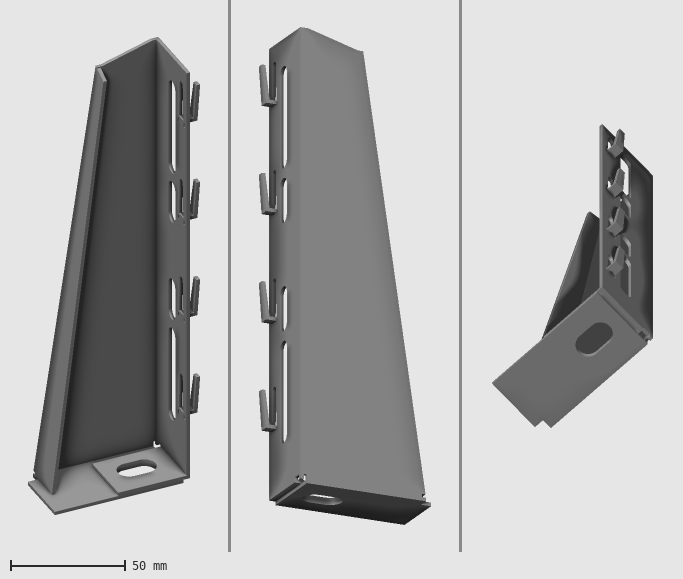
import cadquery as cq

WIDTH = 32.5
HEIGHT = 210.3
FOOT_DEPTH = 65.5
SHEET = 1.7

TOP_FLAT = 3.8
SLOPE_END = 27.8
TOP_DEPTH = 30.3
BOTTOM_DEPTH = 60.5
FRONT_TOP = 203.5

FLANGE_TOP_WIDTH = 9.0
FLANGE_BOTTOM_WIDTH = 19.3
FLANGE_TOP_DROP = 3.2

FOOT_START = 3.2
FOOT_TIP_INSET = 5.0
LIP_INSET = 5.9
LIP_DEPTH = 34.7
FOOT_SLOT_LENGTH = 18.3
FOOT_SLOT_WIDTH = 11.0
FOOT_SLOT_DEPTH = 18.7

REAR_RELIEF_TOP = 4.0
REAR_RELIEF_START = 0.8
FRONT_RELIEF_TOP = 3.2
FRONT_RELIEF_WIDTH = 3.0
FRONT_RELIEF_DEPTH = 1.9

SLOT_X = 17.5
SLOT_WIDTH = 7.0
SLOT_MIDDLE = 110.6
LONG_SLOT = (47.1, 63.5)
SHORT_SLOT = (20.6, 25.0)

HOOK_COUNT = 4
HOOK_PITCH = 50.0
HOOK_X = 27.0
LOWEST_HOOK_Z = 32.2
HOOK_RISE = 17.7
HOOK_REACH = 6.7
HOOK_ARM_REACH = 5.0
HOOK_ROOT_WIDTH = 4.6
HOOK_TIP_WIDTH = 3.2
WINDOW_ARCH_RISE = 18.7
NICK_WIDTH = 0.8
NICK_DEPTH = 1.5
NICK_RISE = 0.6


def box(x, y, z):
    """Box spanning the given (low, high) ranges."""
    size = (x[1] - x[0], y[1] - y[0], z[1] - z[0])
    return cq.Workplane("XY").box(*size, centered=False).translate((x[0], y[0], z[0]))


def side_profile(points, thickness):
    """Extrude a (Y, Z) outline from X = 0 toward +X."""
    return cq.Workplane("YZ").polyline(points).close().extrude(thickness)


def make_side_plate():
    outline = [
        (0, 0),
        (0, HEIGHT),
        (-TOP_FLAT, HEIGHT),
        (-SLOPE_END, FRONT_TOP),
        (-TOP_DEPTH, FRONT_TOP),
        (-BOTTOM_DEPTH, SHEET),
        (-BOTTOM_DEPTH, 0),
    ]
    foot_gap = box((0, SHEET), (-FOOT_START, 0), (0, SHEET))
    relief = box((0, SHEET), (-FOOT_START, -REAR_RELIEF_START), (SHEET, REAR_RELIEF_TOP))
    return side_profile(outline, SHEET).cut(foot_gap).cut(relief)


def make_front_flange():
    slab = side_profile(
        [
            (-TOP_DEPTH, FRONT_TOP),
            (-BOTTOM_DEPTH, SHEET),
            (-BOTTOM_DEPTH + SHEET, SHEET),
            (-TOP_DEPTH + SHEET, FRONT_TOP),
        ],
        WIDTH,
    )
    front_outline = [
        (0, SHEET),
        (0, FRONT_TOP),
        (FLANGE_TOP_WIDTH, FRONT_TOP - FLANGE_TOP_DROP),
        (FLANGE_BOTTOM_WIDTH, SHEET),
    ]
    trim = cq.Workplane("XZ").polyline(front_outline).close().extrude(FOOT_DEPTH)
    return slab.intersect(trim)


def make_foot():
    foot = box((0, WIDTH), (-BOTTOM_DEPTH, -FOOT_START), (0, SHEET))
    tip = box((FOOT_TIP_INSET, WIDTH), (-FOOT_DEPTH, -BOTTOM_DEPTH), (0, SHEET))
    lip = box((LIP_INSET, WIDTH), (-LIP_DEPTH, 0), (SHEET, 2 * SHEET))
    slot = (
        cq.Workplane("XY")
        .center(SLOT_X, -FOOT_SLOT_DEPTH)
        .slot2D(FOOT_SLOT_LENGTH, FOOT_SLOT_WIDTH, 90)
        .extrude(2 * SHEET)
    )
    return foot.union(tip).union(lip).cut(slot)


def make_back_plate():
    plate = box((0, WIDTH), (-SHEET, 0), (SHEET, HEIGHT))
    for length, offset in (LONG_SLOT, SHORT_SLOT):
        slots = (
            cq.Workplane("XZ")
            .pushPoints([(SLOT_X, SLOT_MIDDLE - offset), (SLOT_X, SLOT_MIDDLE + offset)])
            .slot2D(length, SLOT_WIDTH, 90)
            .extrude(SHEET)
        )
        plate = plate.cut(slots)
    corner = box((SHEET, LIP_INSET), (-SHEET, 0), (SHEET, REAR_RELIEF_TOP))
    return plate.cut(corner)


def make_front_relief():
    """Notch at the corner shared by the side plate, the flange and the foot."""
    rear = -BOTTOM_DEPTH + FRONT_RELIEF_DEPTH
    return box((0, FRONT_RELIEF_WIDTH), (-BOTTOM_DEPTH, rear), (SHEET, FRONT_RELIEF_TOP))


def make_hook_window(z):
    """Flared, round-topped opening with a nick on each side of the hook's root."""
    root = HOOK_ROOT_WIDTH / 2
    tip = HOOK_TIP_WIDTH / 2
    arch = z + WINDOW_ARCH_RISE
    window = (
        cq.Workplane("XZ")
        .moveTo(HOOK_X - root, z)
        .lineTo(HOOK_X - tip, arch)
        .threePointArc((HOOK_X, arch + tip), (HOOK_X + tip, arch))
        .lineTo(HOOK_X + root, z)
        .close()
        .extrude(SHEET)
    )
    for left in (HOOK_X - root - NICK_WIDTH, HOOK_X + root):
        nick = box((left, left + NICK_WIDTH), (-SHEET, 0), (z - NICK_DEPTH, z + NICK_RISE))
        window = window.union(nick)
    return window


def make_hook(z):
    """Arm reaching rearward, then a tapering tongue leaning away from the plate."""
    root = HOOK_ROOT_WIDTH / 2
    tip = HOOK_TIP_WIDTH / 2
    top = z + HOOK_RISE
    profile = [
        (-SHEET, z),
        (HOOK_ARM_REACH, z),
        (HOOK_REACH, top),
        (HOOK_REACH - SHEET, top),
        (HOOK_ARM_REACH - SHEET, z + SHEET),
        (-SHEET, z + SHEET),
    ]
    outline = [
        (HOOK_X - root, z),
        (HOOK_X - root, z + SHEET),
        (HOOK_X - tip, top),
        (HOOK_X + tip, top),
        (HOOK_X + root, z + SHEET),
        (HOOK_X + root, z),
    ]
    taper = cq.Workplane("XZ", origin=(0, HOOK_REACH, 0)).polyline(outline).close()
    return side_profile(profile, WIDTH).intersect(taper.extrude(HOOK_REACH + SHEET))


result = (
    make_side_plate()
    .union(make_front_flange())
    .cut(make_front_relief())
    .union(make_foot())
    .union(make_back_plate())
)
for index in range(HOOK_COUNT):
    hook_z = LOWEST_HOOK_Z + index * HOOK_PITCH
    result = result.cut(make_hook_window(hook_z)).union(make_hook(hook_z))